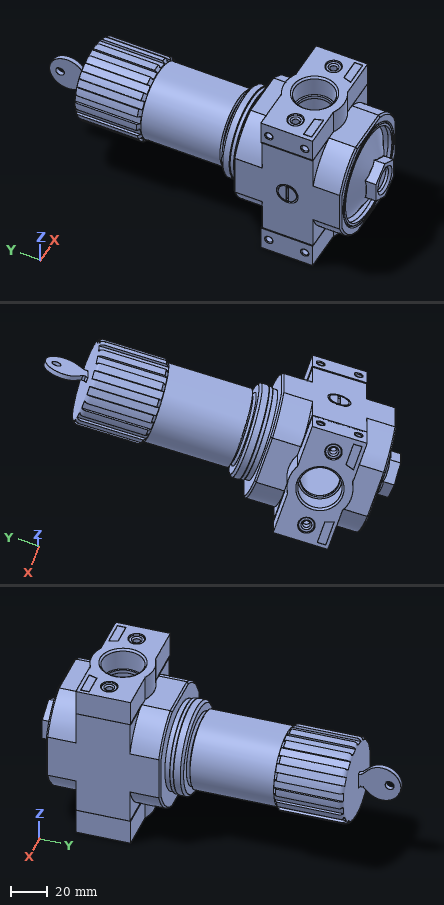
import cadquery as cq
import math


body_half_length = 33.0
body_half_width = 33.3
body_half_height = 32.9
body_radius = 35.7
body_chamfer = 1.0
band_front = -15.8
band_back = 15.5
port_diameter = 22.0

plate_left = -34.0
plate_right = body_half_width
plate_half_length = -band_front
overall_height = 96.0
plate_top = overall_height / 2
boss_radius = 18.0
plate_port_diameter = 24.2
plate_port_depth = 13.2
plate_port_rim_diameter = 26.4

fixing_offset = 23.1
fixing_rim_diameter = 9.5
fixing_diameter = 8.5
fixing_depth = 0.6
pilot_rim_diameter = 5.9
side_hole_rim_diameter = 5.0
drill_diameter = 4.0
drill_depth = 5.0
drill_tip_angle = 118
side_hole_offset = 11.0
side_hole_height = 40.0

label_depth = 0.2
label_outer = 31.0
label_inner_bottom = 16.5
label_inner_top = 18.0
label_top = -9.0
label_bottom = -13.8

plug_diameter = 11.4
plug_rim_diameter = 13.2
plug_length = 6.0
slot_length = 9.5
slot_width = 1.5
slot_depth = 1.2

cap_radius = 30.2
cap_seam_chamfer = 0.6
cap_lip_radius = 28.2
cap_lip_floor_y = -30.9
cone_base_radius = 27.0
cone_base_y = -28.5
cone_tip_radius = 11.4
cone_tip_y = -37.1
cap_seat_y = -22.3
hex_across_flats = 22.0
hex_end_y = -43.0
drain_rim_diameter = 17.0
drain_diameter = 14.2
drain_depth = 3.0

neck_radius = 19.5
bonnet_radius = 21.1
bonnet_flare_top = 45.3
ring_top = 43.8
ring_radius = 27.2
ring_chamfer = 1.5
ring_rim_bottom = 38.2
ring_step_radius = 26.8
ring_step_bottom = 36.1
ring_base_radius = 26.0

sleeve_radius = 22.7
sleeve_bottom = 46.5
knob_radius = 24.5
knob_bottom = 94.8
knob_top = 135.5
knob_top_round = 2.8
knob_bottom_chamfer = 1.8
groove_count = 16
groove_width = 4.9
groove_floor_radius = 23.0
groove_clearance = 2.0

key_center_x = -3.0
key_thickness = 2.8
key_tip_y = 160.0
key_head_radius = 11.0
key_hole_diameter = 5.0
key_hole_y = 153.5
key_neck_top = 3.5
key_neck_bottom = -4.7
key_shoulder_length = 1.2
key_neck_round = 3.0


def turned(points):
    """Solid of revolution about the Y axis from (radius, y) points."""
    return cq.Workplane("XY").polyline(points).close().revolve(360, (0, 0), (0, 1))


def rod(radius, start_y, end_y):
    """Cylinder on the Y axis."""
    return turned([(0, start_y), (radius, start_y), (radius, end_y), (0, end_y)])


def box_between(x_range, y_range, z_range):
    """Box between the given limits."""
    return (
        cq.Workplane("XY")
        .box(x_range[1] - x_range[0], y_range[1] - y_range[0], z_range[1] - z_range[0], centered=False)
        .translate((x_range[0], y_range[0], z_range[0]))
    )


def rim_cut(rim_diameter, hole_diameter, depth):
    """Flat-bottomed hole with a 45 degree rim, sinking along -Z from the origin."""
    rim_depth = (rim_diameter - hole_diameter) / 2
    outline = [
        (0, 0),
        (rim_diameter / 2, 0),
        (hole_diameter / 2, -rim_depth),
        (hole_diameter / 2, -depth),
        (0, -depth),
    ]
    return cq.Workplane("XZ").polyline(outline).close().revolve(360, (0, 0), (0, 1))


def drilled_cut(rim_diameter):
    """Blind drilled hole with a 45 degree rim and a conical tip, sinking along -Z."""
    tip_height = drill_diameter / 2 / math.tan(math.radians(drill_tip_angle / 2))
    tip = cq.Solid.makeCone(
        drill_diameter / 2, 0, tip_height, cq.Vector(0, 0, -drill_depth), cq.Vector(0, 0, -1)
    )
    return rim_cut(rim_diameter, drill_diameter, drill_depth).union(cq.Workplane(tip))


def on_left_face(cutter, x, y, z):
    """Turn a cutter that sinks along -Z so that it sinks along +X from a point."""
    return cutter.rotate((0, 0, 0), (0, 1, 0), -90).translate((x, y, z))


def make_housing():
    flats = box_between(
        (-body_half_width, body_half_width),
        (-body_half_length, body_half_length),
        (-body_half_height, body_half_height),
    )
    body = rod(body_radius, -body_half_length, body_half_length).intersect(flats)
    body = body.faces("<Y or >Y").chamfer(body_chamfer)
    band = box_between(
        (-body_half_width, body_half_width),
        (band_front, band_back),
        (-body_half_height, body_half_height),
    )
    body = body.union(band)

    port = cq.Workplane("XY").circle(port_diameter / 2).extrude(body_half_height, both=True)
    plug_hole = on_left_face(
        rim_cut(plug_rim_diameter, plug_diameter, plug_length), -body_half_width, 0, 0
    )
    cap_seat = turned([
        (0, cap_seat_y),
        (cap_radius, cap_seat_y),
        (cap_radius, -body_half_length + cap_seam_chamfer),
        (cap_radius + cap_seam_chamfer, -body_half_length),
        (0, -body_half_length),
    ])
    return body.cut(port).cut(plug_hole).cut(cap_seat)


def make_label_recess(side):
    """Four-sided recess with a slanted inner end; side is -1 or 1 along X."""
    outline = [
        (side * label_outer, label_top),
        (side * label_inner_top, label_top),
        (side * label_inner_bottom, label_bottom),
        (side * label_outer, label_bottom),
    ]
    return (
        cq.Workplane("XY", origin=(0, 0, plate_top - label_depth))
        .polyline(outline)
        .close()
        .extrude(label_depth)
    )


def make_port_plate():
    """Upper port plate."""
    plate = box_between(
        (plate_left, plate_right),
        (-plate_half_length, plate_half_length),
        (body_half_height, plate_top),
    )
    plate_height = plate_top - body_half_height
    boss = (
        cq.Workplane("XY", origin=(0, 0, body_half_height)).circle(boss_radius).extrude(plate_height)
    )
    port = rim_cut(plate_port_rim_diameter, plate_port_diameter, plate_port_depth)
    port_floor = cq.Workplane("XY").circle(port_diameter / 2).extrude(-plate_height)
    port = port.union(port_floor)
    plate = plate.union(boss).cut(port.translate((0, 0, plate_top)))

    for side in (-1, 1):
        recess = rim_cut(fixing_rim_diameter, fixing_diameter, fixing_depth)
        pilot = drilled_cut(pilot_rim_diameter).translate((0, 0, -fixing_depth))
        fixing = recess.union(pilot)
        plate = plate.cut(fixing.translate((side * fixing_offset, 0, plate_top)))
        plate = plate.cut(make_label_recess(side))
        side_hole = drilled_cut(side_hole_rim_diameter)
        plate = plate.cut(
            on_left_face(side_hole, plate_left, side * side_hole_offset, side_hole_height)
        )
    return plate


def make_plug():
    plug_face = -body_half_width
    plug = cq.Workplane("YZ", origin=(plug_face, 0, 0)).circle(plug_diameter / 2).extrude(plug_length)
    slot = box_between(
        (plug_face, plug_face + slot_depth),
        (-slot_width / 2, slot_width / 2),
        (-slot_length / 2, slot_length / 2),
    )
    return plug.cut(slot)


def make_bowl_cap():
    cap = turned([
        (0, cap_seat_y),
        (cap_radius, cap_seat_y),
        (cap_radius, -body_half_length + cap_seam_chamfer),
        (cap_radius - cap_seam_chamfer, -body_half_length),
        (cap_lip_radius, -body_half_length),
        (cap_lip_radius, cap_lip_floor_y),
        (cone_base_radius, cone_base_y),
        (cone_tip_radius, cone_tip_y),
        (0, cone_tip_y),
    ])
    hex_corner_diameter = hex_across_flats / math.cos(math.pi / 6)
    hexagon = (
        cq.Workplane("XZ", origin=(0, cone_base_y, 0))
        .transformed(rotate=(0, 0, 90))
        .polygon(6, hex_corner_diameter)
        .extrude(cone_base_y - hex_end_y)
    )
    drain = rim_cut(drain_rim_diameter, drain_diameter, drain_depth)
    drain = drain.rotate((0, 0, 0), (1, 0, 0), 90).translate((0, hex_end_y, 0))
    return cap.union(hexagon).cut(drain)


def make_bonnet():
    return turned([
        (0, body_half_length),
        (bonnet_radius, body_half_length),
        (bonnet_radius, ring_top),
        (neck_radius, bonnet_flare_top),
        (neck_radius, sleeve_bottom),
        (0, sleeve_bottom),
    ])


def make_ring():
    return turned([
        (bonnet_radius, body_half_length),
        (ring_base_radius, body_half_length),
        (ring_base_radius, ring_step_bottom),
        (ring_step_radius, ring_step_bottom),
        (ring_step_radius, ring_rim_bottom),
        (ring_radius, ring_rim_bottom + ring_radius - ring_step_radius),
        (ring_radius, ring_top - ring_chamfer),
        (ring_radius - ring_chamfer, ring_top),
        (bonnet_radius, ring_top),
    ])


def make_sleeve():
    return rod(sleeve_radius, sleeve_bottom, knob_bottom)


def make_knob():
    knob = rod(knob_radius, knob_bottom, knob_top)
    knob = knob.faces(">Y").edges().fillet(knob_top_round)
    knob = knob.faces("<Y").edges().chamfer(knob_bottom_chamfer)
    groove_pitch = 360 / groove_count
    groove = box_between(
        (groove_floor_radius, knob_radius + groove_clearance),
        (knob_bottom, knob_top),
        (-groove_width / 2, groove_width / 2),
    )
    for index in range(groove_count):
        angle = (index + 0.5) * groove_pitch
        knob = knob.cut(groove.rotate((0, 0, 0), (0, 1, 0), angle))
    return knob


def make_key():
    head_y = key_tip_y - key_head_radius
    tangent = key_head_radius * math.sqrt(0.5)
    tangent_y = head_y - tangent
    neck_top_y = tangent_y - (tangent - key_neck_top)
    neck_bottom_y = tangent_y - (tangent + key_neck_bottom)
    shoulder_y = knob_top + key_shoulder_length
    key = (
        cq.Workplane("YZ", origin=(key_center_x, 0, 0))
        .moveTo(tangent_y, tangent)
        .threePointArc((key_tip_y, 0), (tangent_y, -tangent))
        .lineTo(neck_bottom_y, key_neck_bottom)
        .lineTo(shoulder_y, key_neck_bottom)
        .lineTo(knob_top, key_neck_bottom - key_shoulder_length)
        .lineTo(knob_top, key_neck_top)
        .lineTo(neck_top_y, key_neck_top)
        .close()
        .extrude(key_thickness / 2, both=True)
    )
    neck_corner = cq.selectors.NearestToPointSelector((key_center_x, neck_top_y, key_neck_top))
    key = key.edges("|X").edges(neck_corner).fillet(key_neck_round)
    hole = (
        cq.Workplane("YZ", origin=(key_center_x, 0, 0))
        .center(key_hole_y, 0)
        .circle(key_hole_diameter / 2)
        .extrude(key_thickness, both=True)
    )
    return key.cut(hole)


housing = make_housing()
upper_plate = make_port_plate()
port_plates = [upper_plate, upper_plate.mirror("XY")]
plug = make_plug()
bowl_cap = make_bowl_cap()
bonnet = make_bonnet()
ring = make_ring()
sleeve = make_sleeve()
knob = make_knob()
key = make_key()

result = cq.Compound.makeCompound([
    housing.val(),
    *[plate.val() for plate in port_plates],
    plug.val(),
    bowl_cap.val(),
    bonnet.val(),
    ring.val(),
    sleeve.val(),
    knob.val(),
    key.val(),
])